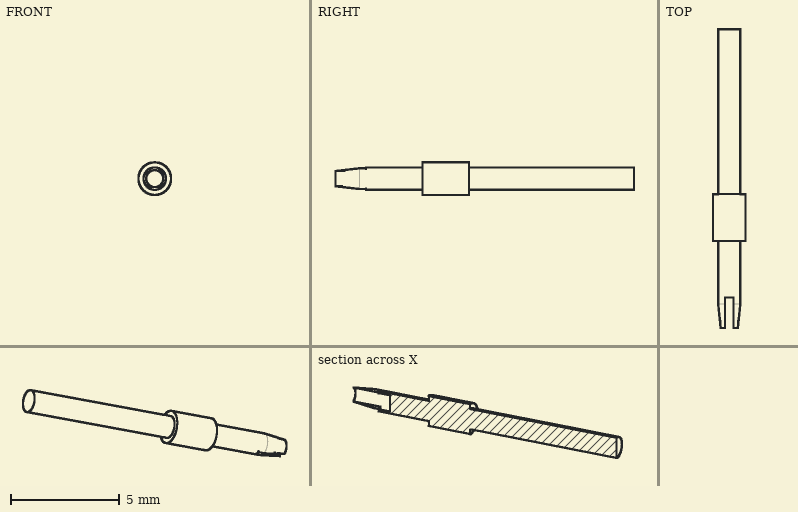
import cadquery as cq

total_length = 13.79
shaft_diameter = 1.03
collar_diameter = 1.52
collar_start = 4.01
collar_length = 2.17

tip_diameter = 0.8
taper_length = 1.1
bore_diameter = 0.79
bore_depth = 2.0
slot_width = 0.37
slot_depth = 1.4


def cylinder_along_y(diameter, start, length):
    """Solid cylinder on the pin axis, running toward +Y from start."""
    axis_start = cq.Vector(0, start, 0)
    return cq.Workplane(cq.Solid.makeCylinder(diameter / 2, length, axis_start, cq.Vector(0, 1, 0)))


def make_shaft():
    """Round shaft with a conical front end, revolved about Y."""
    return (
        cq.Workplane("XY")
        .moveTo(0, 0)
        .lineTo(tip_diameter / 2, 0)
        .lineTo(shaft_diameter / 2, taper_length)
        .lineTo(shaft_diameter / 2, total_length)
        .lineTo(0, total_length)
        .close()
        .revolve(360, (0, 0, 0), (0, 1, 0))
    )


collar = cylinder_along_y(collar_diameter, collar_start, collar_length)
bore = cylinder_along_y(bore_diameter, 0, bore_depth)

slot = cq.Workplane("XY").box(
    slot_width, slot_depth, collar_diameter, centered=(True, False, True)
)

result = make_shaft().union(collar).cut(bore).cut(slot)